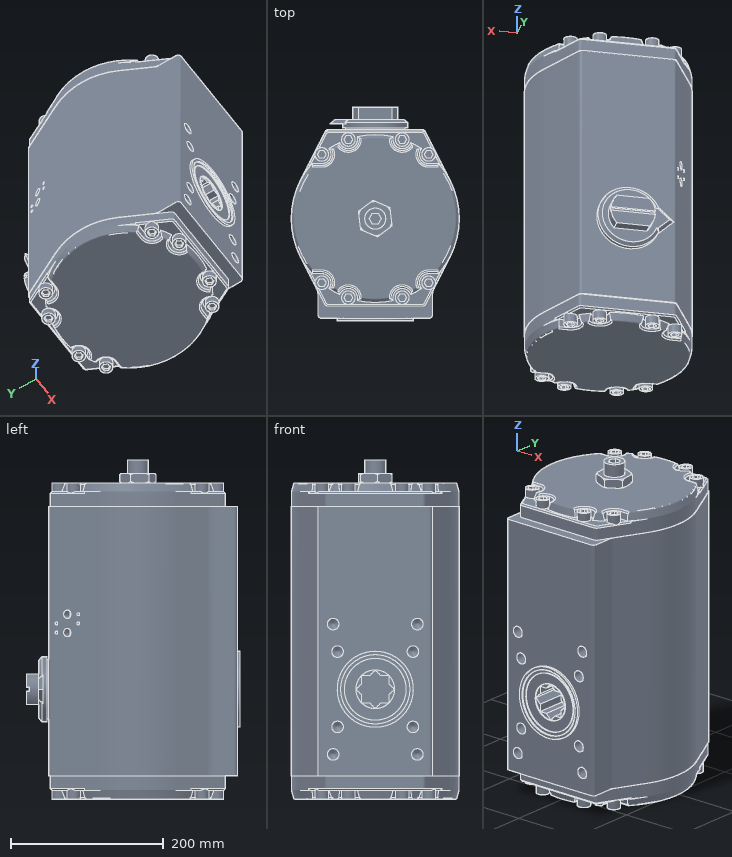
import cadquery as cq
import math


total_height = 444.0
drive_z = 144.0

barrel_radius = 110.0
side_angle = 27.0
body_half_depth = 116.8
corner_radius = 5.5
cover_height = 30.5
top_cover_face = 414.0
body_bottom = cover_height
body_top = top_cover_face - cover_height

block_half_width = 75.0
block_face_y = -130.5
block_edge_radius = 5.0
block_root_radius = 19.5

ring_radius = 49.7
ring_height = 3.0
ring_step_radius = 45.5
ring_step_depth = 1.8
ring_floor_radius = 40.5
star_half_side = 17.8
star_circle_radius = 25.5
star_circle_depth = 1.5
star_depth = 53.5
mount_hole_radius = 7.5
mount_hole_depth = 22.0
inner_hole_offset = 49.5
outer_hole_x = 55.0
outer_hole_z = 85.2

cover_radius = 109.5
cover_half_depth = 114.5
flange_height = 19.0
rim_chamfer = 2.0
rim_chamfer_start_y = 69.5
dome_draft = 15.0
dome_edge_radius = 2.0
scallop_radius = 12.0
scallop_reach = 4 * scallop_radius
scallop_flare_draft = 45.0
screw_circle_radius = 109.0
inner_screw_angle = 18.8
outer_screw_angle = 39.8
screw_radius = 9.0
socket_radius = 5.8
socket_depth = 5.5

nut_corner_radius = 24.0
nut_turn = 7.0
nut_top = 426.2
nut_chamfer = 1.8
stop_radius = 13.8
stop_socket_radius = 8.0
stop_socket_depth = 11.0

port_z = 230.0
port_y = 92.5
port_spacing = 24.0
port_radius = 5.5
port_depth = 17.8
pin_spacing = 32.0
pin_radius = 1.8
pin_depth = 9.0

indicator_base_radius = 39.0
indicator_base_height = 1.8
indicator_radius = 42.5
indicator_face_y = 129.5
indicator_chamfer_radial = 5.0
indicator_chamfer_axial = 4.0
pointer_tip_x = -59.5
pointer_half_width = 18.5
pointer_thickness = 5.8
pointer_taper = 39.0
shaft_radius = 29.7
shaft_half_flats = 20.0
shaft_end_y = 145.5
shaft_slot_width = 5.0
shaft_slot_depth = 3.5

drill_point_angle = 118.0


def barrel_prism(radius, half_depth, bottom, top):
    """Barrel section extruded along Z, with its four outer corners rounded."""
    angle = math.radians(side_angle)
    touch_x = radius * math.cos(angle)
    touch_y = radius * math.sin(angle)
    corner_x = (radius - half_depth * math.sin(angle)) / math.cos(angle)
    prism = (
        cq.Workplane("XY", origin=(0, 0, bottom))
        .moveTo(-corner_x, half_depth)
        .lineTo(corner_x, half_depth)
        .lineTo(touch_x, touch_y)
        .threePointArc((radius, 0), (touch_x, -touch_y))
        .lineTo(corner_x, -half_depth)
        .lineTo(-corner_x, -half_depth)
        .lineTo(-touch_x, -touch_y)
        .threePointArc((-radius, 0), (-touch_x, touch_y))
        .close()
        .extrude(top - bottom)
    )
    corners = prism.edges("|Z and >Y").add(prism.edges("|Z and <Y"))
    return corners.fillet(corner_radius)


def drill(radius, depth, point, direction):
    """Blind hole cutter with a conical end."""
    tip = radius / math.tan(math.radians(drill_point_angle / 2))
    start = cq.Vector(*point)
    axis = cq.Vector(*direction)
    bore = cq.Solid.makeCylinder(radius, depth, start, axis)
    cone = cq.Solid.makeCone(radius, 0, tip, start + axis * depth, axis)
    return cq.Workplane(bore.fuse(cone))


def along_y(start_y, end_y, radius):
    """Cylinder on the drive axis between two Y positions."""
    start = cq.Vector(0, start_y, drive_z)
    return cq.Workplane(cq.Solid.makeCylinder(radius, end_y - start_y, start, cq.Vector(0, 1, 0)))


def make_body():
    barrel = barrel_prism(barrel_radius, body_half_depth, body_bottom, body_top)
    block = (
        cq.Workplane("XY", origin=(0, 0, body_bottom))
        .moveTo(0, block_face_y / 2)
        .rect(2 * block_half_width, -block_face_y)
        .extrude(body_top - body_bottom)
        .edges("|Z and <Y")
        .fillet(block_edge_radius)
    )
    body = barrel.union(block)
    angle = math.radians(side_angle)
    root_y = (block_half_width * math.cos(angle) - barrel_radius) / math.sin(angle)
    for side in (-1, 1):
        root = (side * block_half_width, root_y, (body_bottom + body_top) / 2)
        body = body.edges(cq.NearestToPointSelector(root)).fillet(block_root_radius)
    return body


def add_mounting_face(body):
    ring_face_y = block_face_y - ring_height
    body = body.union(along_y(ring_face_y, block_face_y, ring_radius))
    body = body.cut(along_y(ring_face_y, ring_face_y + ring_step_depth, ring_step_radius))
    body = body.cut(along_y(ring_face_y, block_face_y, ring_floor_radius))
    body = body.cut(along_y(block_face_y, block_face_y + star_circle_depth, star_circle_radius))
    for turn in (0, 45):
        square = (
            cq.Workplane("XZ", origin=(0, block_face_y, drive_z))
            .transformed(rotate=(0, 0, turn))
            .rect(2 * star_half_side, 2 * star_half_side)
            .extrude(-star_depth)
        )
        body = body.cut(square)
    for offset_x, offset_z in ((inner_hole_offset, inner_hole_offset), (outer_hole_x, outer_hole_z)):
        for side in (-1, 1):
            for level in (-1, 1):
                point = (side * offset_x, block_face_y, drive_z + level * offset_z)
                body = body.cut(drill(mount_hole_radius, mount_hole_depth, point, (0, 1, 0)))
    return body


def cut_air_connection(body):
    angle = math.radians(180 - side_angle)
    normal = (math.cos(angle), math.sin(angle))
    inward = (-normal[0], -normal[1], 0)

    def face_point(y, z):
        return ((barrel_radius - y * normal[1]) / normal[0], y, z)

    half_spacing = port_spacing / 2
    for level in (-1, 1):
        point = face_point(port_y, port_z + level * half_spacing)
        body = body.cut(drill(port_radius, port_depth, point, inward))
    half_rise = pin_spacing / 2 * math.cos(math.radians(side_angle))
    for side in (-1, 1):
        for level in (0, -side * half_spacing):
            point = face_point(port_y + side * half_rise, port_z + level)
            body = body.cut(drill(pin_radius, pin_depth, point, inward))
    return body


def ring_positions(angle):
    """Four mirrored screw positions at one angle from the Y axis."""
    x = screw_circle_radius * math.sin(math.radians(angle))
    y = screw_circle_radius * math.cos(math.radians(angle))
    return [(side_x * x, side_y * y) for side_x in (-1, 1) for side_y in (-1, 1)]


def make_scallop(x, y, direction, bottom, height):
    """Drafted cutter around one screw head, open toward direction and flared at the top edge."""
    wall_height = height - dome_edge_radius

    def stage(level, radius, rise, draft):
        return (
            cq.Workplane("XY", origin=(x, y, level))
            .transformed(rotate=(0, 0, direction))
            .moveTo(scallop_reach / 2, 0)
            .slot2D(scallop_reach + 2 * radius, 2 * radius)
            .extrude(rise, taper=-draft)
        )

    flare_radius = scallop_radius + wall_height * math.tan(math.radians(dome_draft))
    wall = stage(bottom, scallop_radius, wall_height, dome_draft)
    flare = stage(bottom + wall_height, flare_radius, dome_edge_radius, scallop_flare_draft)
    return wall.union(flare)


def make_top_cover():
    flange_top = body_top + flange_height
    dome_height = top_cover_face - flange_top

    plain_flange = barrel_prism(cover_radius, cover_half_depth, body_top, flange_top)
    chamfered_flange = plain_flange.faces(">Z").edges().chamfer(rim_chamfer)
    middle = cq.Workplane("XY").box(2 * total_height, 2 * rim_chamfer_start_y, 2 * total_height)
    flange = chamfered_flange.union(plain_flange.intersect(middle))

    dome = (
        cq.Workplane("XY", origin=(0, 0, flange_top))
        .circle(cover_radius)
        .extrude(dome_height, taper=dome_draft)
        .faces(">Z")
        .edges()
        .fillet(dome_edge_radius)
    )
    cover = flange.union(dome)
    inner_screws = ring_positions(inner_screw_angle)
    outer_screws = ring_positions(outer_screw_angle)
    for x, y in inner_screws:
        cover = cover.cut(make_scallop(x, y, math.copysign(90, y), flange_top, dome_height))
    for x, y in outer_screws:
        cover = cover.cut(make_scallop(x, y, 0 if x > 0 else 180, flange_top, dome_height))
    screws = (
        cq.Workplane("XY", origin=(0, 0, flange_top - rim_chamfer))
        .pushPoints(inner_screws + outer_screws)
        .circle(screw_radius)
        .extrude(dome_height + rim_chamfer)
    )
    sockets = (
        cq.Workplane("XY", origin=(0, 0, top_cover_face))
        .pushPoints(inner_screws + outer_screws)
        .polygon(6, 2 * socket_radius)
        .extrude(-socket_depth)
    )
    return cover.union(screws).cut(sockets)


def make_stop_screw():
    nut_height = nut_top - top_cover_face
    nut = (
        cq.Workplane("XY", origin=(0, 0, top_cover_face))
        .transformed(rotate=(0, 0, 30 + nut_turn))
        .polygon(6, 2 * nut_corner_radius)
        .extrude(nut_height)
    )
    rounding = (
        cq.Workplane("XY", origin=(0, 0, top_cover_face))
        .circle(nut_corner_radius)
        .extrude(nut_height)
        .faces("<Z or >Z")
        .chamfer(nut_chamfer)
    )
    screw = (
        cq.Workplane("XY", origin=(0, 0, top_cover_face))
        .circle(stop_radius)
        .extrude(total_height - top_cover_face)
    )
    socket = (
        cq.Workplane("XY", origin=(0, 0, total_height))
        .polygon(6, 2 * stop_socket_radius)
        .extrude(-stop_socket_depth)
    )
    return nut.intersect(rounding).union(screw).cut(socket)


def make_pointer():
    """Arrow lying on the indicator, pointing to -X, with sides sloping in towards +Y."""
    return (
        cq.Workplane("XZ", origin=(0, indicator_face_y - pointer_thickness, drive_z))
        .polyline([
            (pointer_tip_x, 0),
            (-indicator_base_radius, pointer_half_width),
            (0, pointer_half_width),
            (0, -pointer_half_width),
            (-indicator_base_radius, -pointer_half_width),
        ])
        .close()
        .extrude(-pointer_thickness, taper=pointer_taper)
    )


def make_indicator():
    disc_y = body_half_depth + indicator_base_height
    base = along_y(body_half_depth, disc_y, indicator_base_radius)
    disc = along_y(disc_y, indicator_face_y, indicator_radius)
    disc = disc.faces(">Y").chamfer(indicator_chamfer_axial, indicator_chamfer_radial)

    shaft = along_y(indicator_face_y, shaft_end_y, shaft_radius)
    flats = cq.Workplane("XY", origin=(0, 0, drive_z)).box(
        2 * shaft_radius, 2 * shaft_end_y, 2 * shaft_half_flats
    )
    slot = cq.Workplane("XY", origin=(0, shaft_end_y, drive_z)).box(
        2 * shaft_radius, 2 * shaft_slot_depth, shaft_slot_width
    )
    shaft = shaft.intersect(flats).cut(slot)
    return base.union(disc).union(make_pointer()).union(shaft)


top_cover = make_top_cover()
bottom_cover = top_cover.mirror("XY", (0, 0, (body_bottom + body_top) / 2))
body = cut_air_connection(add_mounting_face(make_body()))

result = body.union(top_cover).union(bottom_cover).union(make_stop_screw()).union(make_indicator())